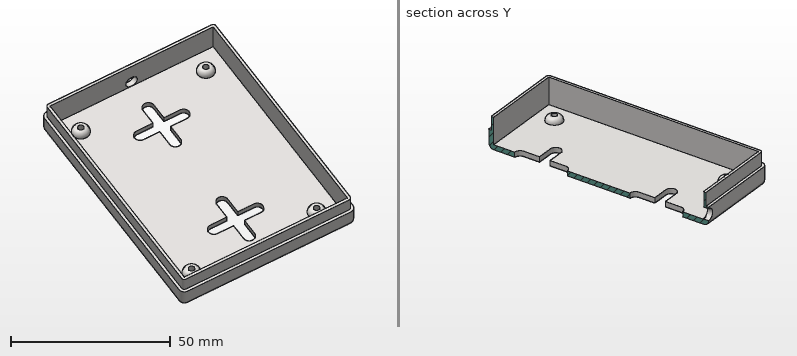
import cadquery as cq
import math

length = 84.0
width = 64.0
height = 12.0
wall = 2.0
floor_thickness = 2.0
edge_radius = 2.0

rim_inset = 1.0
rim_height = 5.0
shoulder_z = height - rim_height

dome_radius = 3.0
screw_hole_diameter = 2.0
dome_height = dome_radius - screw_hole_diameter / 2
dome_spacing_x = 66.0
dome_spacing_y = 46.0

cross_span = 20.0
cross_slot_width = 4.0
cross_spacing = 44.0

cable_hole_diameter = 4.2
cable_hole_z = 4.2


def rounded_block(block_length, block_width, bottom_z, top_z, corner_radius):
    """Block centred on the Z axis with rounded vertical edges."""
    return (
        cq.Workplane("XY", origin=(0, 0, bottom_z))
        .rect(block_length, block_width)
        .extrude(top_z - bottom_z)
        .edges("|Z")
        .fillet(corner_radius)
    )


def make_tray():
    """Open tray with a rounded bottom and an inset rim."""
    base = rounded_block(length, width, 0, shoulder_z, edge_radius)
    base = base.faces("<Z").edges().fillet(edge_radius)
    rim = rounded_block(
        length - 2 * rim_inset,
        width - 2 * rim_inset,
        floor_thickness,
        height,
        edge_radius - rim_inset,
    )
    cavity = (
        cq.Workplane("XY", origin=(0, 0, floor_thickness))
        .rect(length - 2 * wall, width - 2 * wall)
        .extrude(height - floor_thickness)
    )
    return base.union(rim).cut(cavity)


def make_dome():
    """Ring with a quarter-round profile, tangent to the vertical at its base."""
    hole_radius = screw_hole_diameter / 2
    arc_offset = dome_height * math.sqrt(0.5)
    return (
        cq.Workplane("XZ")
        .moveTo(hole_radius, 0)
        .lineTo(dome_radius, 0)
        .threePointArc((hole_radius + arc_offset, arc_offset), (hole_radius, dome_height))
        .close()
        .revolve(360, (0, 0, 0), (0, 1, 0))
    )


def add_domes(body):
    """Standoffs near the floor corners, their screw holes passing through the floor."""
    dome = make_dome()
    hole = cq.Workplane("XY").circle(screw_hole_diameter / 2).extrude(floor_thickness)
    for x in (-dome_spacing_x / 2, dome_spacing_x / 2):
        for y in (-dome_spacing_y / 2, dome_spacing_y / 2):
            body = body.union(dome.translate((x, y, floor_thickness)))
            body = body.cut(hole.translate((x, y, 0)))
    return body


def cut_crosses(body):
    """Two crosses of round-ended slots through the floor."""
    centers = [(-cross_spacing / 2, 0), (cross_spacing / 2, 0)]
    for angle in (0, 90):
        slots = (
            cq.Workplane("XY")
            .pushPoints(centers)
            .slot2D(cross_span, cross_slot_width, angle)
            .extrude(floor_thickness)
        )
        body = body.cut(slots)
    return body


def cut_cable_hole(body):
    """Round hole through the middle of the -X wall."""
    hole = (
        cq.Workplane("YZ", origin=(-length / 2, 0, cable_hole_z))
        .circle(cable_hole_diameter / 2)
        .extrude(wall)
    )
    return body.cut(hole)


result = cut_cable_hole(cut_crosses(add_domes(make_tray())))